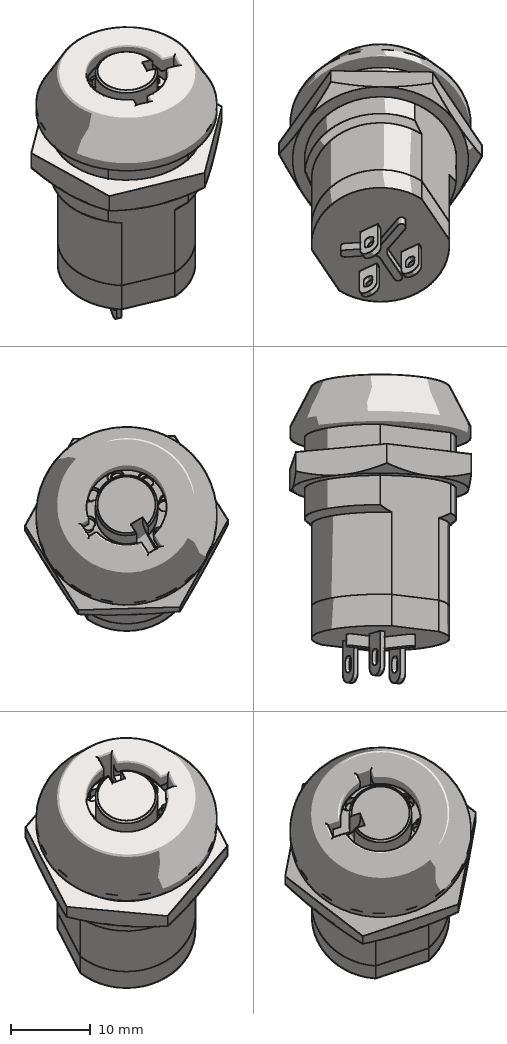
import cadquery as cq
import math


core_top = 37.7
face_top = 37.47
rim_top = 32.27
cap_bottom = 30.95
nut_top = 27.85
nut_bottom = 24.43
thread_end = 20.7
barrel_top = 19.9
base_top = 9.45
base_bottom = 5.45
star_bottom = 4.0

cap_radius = 11.3
face_radius = 8.65
face_edge_round = 0.38
rim_edge_round = 0.1
thread_radius = 9.5
barrel_radius = 8.65
flat_distance = 7.88

bore_radius = 5.0
mouth_round = 0.3
core_radius = 3.9
core_chamfer = 0.25
bore_floor = 32.87
lip_bottom = 35.4
groove_radius = 6.05
keyway_half_width = 0.85
keyway_corner_round = 0.23
top_keyway_end = 6.65
side_keyway_end = 6.05

slot_start = 2.4
slot_flat_start = 6.35
slot_radius = slot_flat_start - slot_start
slot_floor = 31.3

pin_pitch = 45.0
first_pin_angle = 116.8
pin_count = 7
pin_circle_radius = 4.85
pin_radius = 0.83
pin_depth = 1.5
relief_circle_radius = 5.13
relief_radius = 0.65
relief_lead = 6.5
relief_depth = 0.75

nut_corner_radius = 12.7
nut_flat_radius = nut_corner_radius * math.cos(math.pi / 6)
nut_turn = 30.0
nut_chamfer_angle = 30.0

star_arm_length = 4.5
star_half_width = 0.53
star_side_angle = 25.0
star_inner_round = 1.0

terminal_pitch = 3.0
terminal_width = 2.5
terminal_hole_width = 1.25
terminal_hole_length = 2.1
terminal_hole_height = 2.35
outer_terminal_y = -2.53
outer_terminal_thickness = 0.65
middle_terminal_y = 2.53
middle_terminal_thickness = 0.8


def cylinder(radius, bottom, top):
    return cq.Workplane("XY").workplane(offset=bottom).circle(radius).extrude(top - bottom)


def box(x_range, y_range, z_range):
    lows, highs = zip(x_range, y_range, z_range)
    size = [high - low for low, high in zip(lows, highs)]
    return cq.Workplane("XY").box(*size, centered=False).translate(lows)


def revolve(profile):
    """Turn an outline of (radius, height) points around the Z axis."""
    return cq.Workplane("XZ").polyline(profile).close().revolve(360, (0, 0), (0, 1))


def cut_flats(body):
    """Keep only what lies between the two flats."""
    between = box(
        (-flat_distance, flat_distance), (-cap_radius, cap_radius), (base_bottom, cap_bottom)
    )
    return body.intersect(between)


def make_cap():
    profile = [
        (0, cap_bottom),
        (cap_radius, cap_bottom),
        (cap_radius, rim_top),
        (face_radius, face_top),
        (0, face_top),
    ]
    cap = revolve(profile)
    cap = cap.faces(">Z").edges().fillet(face_edge_round)
    rim_edges = cq.selectors.RadiusNthSelector(-1)
    return cap.edges("%CIRCLE").edges(rim_edges).fillet(rim_edge_round)


def make_barrel():
    profile = [
        (0, base_top),
        (barrel_radius, base_top),
        (barrel_radius, barrel_top),
        (thread_radius, thread_end),
        (thread_radius, cap_bottom),
        (0, cap_bottom),
    ]
    return cut_flats(revolve(profile))


def cut_key_opening(body):
    """Round bore with two keyways, a wider groove under its lip and a rounded mouth."""
    key_range = (-keyway_half_width, keyway_half_width)
    depth_range = (bore_floor, face_top)
    opening = (
        cylinder(bore_radius, *depth_range)
        .union(box(key_range, (0, top_keyway_end), depth_range))
        .union(box((0, side_keyway_end), key_range, depth_range))
    )
    keyway_corners = opening.edges("|Z").edges(
        cq.selectors.BoxSelector(
            (-core_radius / 2, -core_radius / 2, bore_floor),
            (bore_radius, bore_radius, face_top),
        )
    )
    opening = keyway_corners.fillet(keyway_corner_round)
    groove = cylinder(groove_radius, bore_floor, lip_bottom)
    return round_mouth(body.cut(opening)).cut(groove)


def round_mouth(body):
    face = body.faces(">Z")
    mouth = face.val().innerWires()[0]
    return body.newObject(mouth.Edges()).fillet(mouth_round)


def cut_pin_holes(body):
    for index in range(pin_count):
        angle = math.radians(first_pin_angle + index * pin_pitch)
        lead = angle + math.radians(relief_lead)
        hole = cylinder(pin_radius, bore_floor - pin_depth, bore_floor).translate(
            (pin_circle_radius * math.cos(angle), pin_circle_radius * math.sin(angle), 0)
        )
        relief = cylinder(relief_radius, bore_floor - relief_depth, bore_floor).translate(
            (relief_circle_radius * math.cos(lead), relief_circle_radius * math.sin(lead), 0)
        )
        body = body.cut(hole).cut(relief)
    return body


def make_core():
    core = cylinder(core_radius, bore_floor, core_top)
    return core.faces(">Z").edges().chamfer(core_chamfer)


def make_key_slot():
    """Slot along Y whose floor curves up to the top of the core."""
    arc_depth = slot_floor + slot_radius
    profile = (
        cq.Workplane("YZ")
        .moveTo(slot_start, core_top)
        .lineTo(slot_start, arc_depth)
        .radiusArc((slot_flat_start, slot_floor), -slot_radius)
        .lineTo(top_keyway_end, slot_floor)
        .lineTo(top_keyway_end, lip_bottom)
        .lineTo(bore_radius, lip_bottom)
        .lineTo(bore_radius, core_top)
        .close()
    )
    return profile.extrude(keyway_half_width, both=True)


def make_housing():
    housing = make_cap().union(make_barrel())
    housing = cut_pin_holes(cut_key_opening(housing))
    return housing.union(make_core()).cut(make_key_slot())


def make_nut():
    hexagon = (
        cq.Workplane("XY")
        .workplane(offset=nut_bottom)
        .polygon(6, 2 * nut_corner_radius)
        .extrude(nut_top - nut_bottom)
        .rotate((0, 0, 0), (0, 0, 1), nut_turn)
    )
    chamfer_rise = (nut_corner_radius - nut_flat_radius) * math.tan(math.radians(nut_chamfer_angle))
    envelope_profile = [
        (0, nut_bottom),
        (nut_flat_radius, nut_bottom),
        (nut_corner_radius, nut_bottom + chamfer_rise),
        (nut_corner_radius, nut_top),
        (0, nut_top),
    ]
    envelope = revolve(envelope_profile)
    return hexagon.intersect(envelope).cut(cylinder(thread_radius, nut_bottom, nut_top))


def make_star():
    """Three-armed boss with rounded arm tips and rounded inner corners."""
    height = base_bottom - star_bottom
    star = cylinder(star_half_width, star_bottom, base_bottom)
    for angle in (star_side_angle, 180 - star_side_angle, 270):
        arm = (
            cq.Workplane("XY")
            .workplane(offset=star_bottom)
            .rect(star_arm_length, 2 * star_half_width)
            .extrude(height)
            .translate((star_arm_length / 2, 0, 0))
            .union(cylinder(star_half_width, star_bottom, base_bottom).translate((star_arm_length, 0, 0)))
            .rotate((0, 0, 0), (0, 0, 1), angle)
        )
        star = star.union(arm)
    inner_reach = 2 * star_half_width
    inner_corners = cq.selectors.BoxSelector(
        (-inner_reach, -inner_reach, star_bottom), (inner_reach, inner_reach, base_bottom)
    )
    return star.edges("|Z").edges(inner_corners).fillet(star_inner_round)


def make_base():
    disc = cut_flats(cylinder(barrel_radius, base_bottom, base_top))
    return disc.union(make_star())


def make_terminal(x, y, thickness):
    """Flat solder tag with a round tip and a slotted eye, centred on the given place."""
    tip_radius = terminal_width / 2
    blade = (
        cq.Workplane("XZ")
        .moveTo(-tip_radius, base_bottom)
        .lineTo(-tip_radius, tip_radius)
        .threePointArc((0, 0), (tip_radius, tip_radius))
        .lineTo(tip_radius, base_bottom)
        .close()
        .extrude(thickness / 2, both=True)
    )
    eye = (
        cq.Workplane("XZ")
        .center(0, terminal_hole_height)
        .slot2D(terminal_hole_length, terminal_hole_width, 90)
        .extrude(thickness, both=True)
    )
    return blade.cut(eye).translate((x, y, 0))


housing = make_housing()
nut = make_nut()
base = make_base()

terminal_places = [
    (-terminal_pitch, outer_terminal_y, outer_terminal_thickness),
    (0, middle_terminal_y, middle_terminal_thickness),
    (terminal_pitch, outer_terminal_y, outer_terminal_thickness),
]
terminals = [make_terminal(*place).val() for place in terminal_places]

result = cq.Compound.makeCompound([housing.val(), nut.val(), base.val(), *terminals])